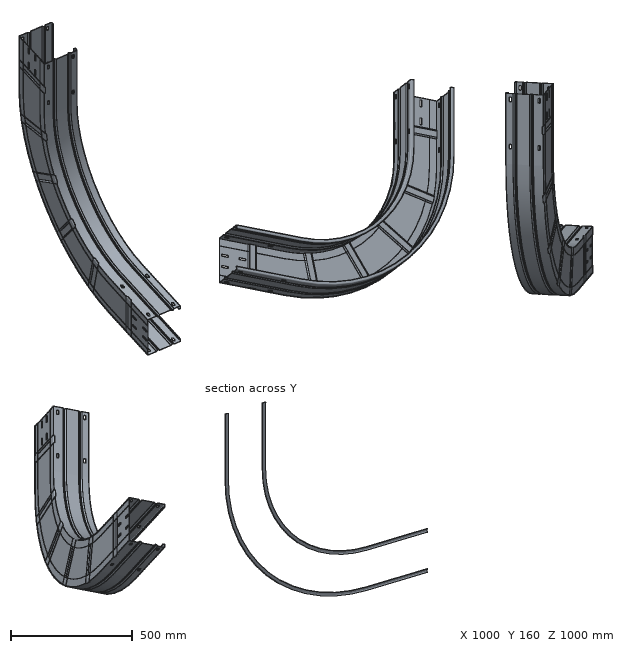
import cadquery as cq
import math

overall = 1000.0
tray_width = 200.0
tray_height = 160.0
leg_length = 300.0
bend_radius = overall - leg_length
bend_angle = 90

sheet = 1.5
inside_bend = 2.0
outside_bend = inside_bend + sheet
corner_match = sheet / 10

flange_width = 35.0
lip_width = 16.0
lip_return = 8.0
groove_places = (51.0, 121.0)
groove_width = 15.0
groove_floor = 3.0
groove_depth = 6.0
wall_slot_length = 20.0
wall_slot_width = 9.0
wall_slot_margin = 20.0
wall_slot_places = (25.0, 225.0)

bead_width = 39.0
bead_floor = 27.0
bead_depth = 5.0
bead_end_distance = 150.0
bend_bead_count = 4
bend_bead_pitch = 22.0
bead_land = 2.0
web_slot_length = 31.0
web_slot_width = 8.0
web_slot_spacing = 50.0
web_slot_places = (25.0, 105.0)
through = 2 * bead_depth

bend_centre = (bend_radius, 0, bend_radius)
bend_axis_end = (bend_radius, -1, bend_radius)


def sheet_face(path, bends=()):
    """Section of a sheet: the path thickened to its right, with the listed path corners bent round."""
    count = len(path)
    headings = [
        math.atan2(path[i + 1][1] - path[i][1], path[i + 1][0] - path[i][0])
        for i in range(count - 1)
    ]
    moved = []
    for i, (x, y) in enumerate(path):
        before = headings[max(i - 1, 0)]
        after = headings[min(i, count - 2)]
        half_turn = math.remainder(after - before, math.tau) / 2
        normal = before + half_turn - math.pi / 2
        reach = sheet / math.cos(half_turn)
        moved.append((x + reach * math.cos(normal), y + reach * math.sin(normal)))
    outline = [cq.Vector(x, y) for x, y in path + moved[::-1]]
    face = cq.Face.makeFromWires(cq.Wire.makePolygon(outline, close=True))
    for side, radius in ((path, outside_bend), (moved, inside_bend)):
        corners = [cq.Vector(*side[i]) for i in bends]
        rounded = [
            vertex for vertex in face.Vertices()
            if any((vertex.Center() - corner).Length < corner_match for corner in corners)
        ]
        if rounded:
            face = face.fillet2D(radius, rounded)
    return face


def mirror_legs(shape):
    """The same shape on the other leg."""
    return shape.mirror(cq.Vector(1, 0, -1), bend_centre)


def turn_around_bend(shape, angle):
    """Turn a shape from the start of the elbow toward the level leg."""
    return cq.Workplane(shape).rotate(bend_centre, bend_axis_end, angle).val()


def along_bend(section):
    """Carry a section down the upright leg, around the elbow and along the level leg."""
    start = section.translate(cq.Vector(0, 0, bend_radius))
    leg = cq.Solid.extrudeLinear(start, cq.Vector(0, 0, leg_length))
    elbow = cq.Solid.revolve(start, bend_angle, bend_centre, bend_axis_end)
    return cq.Workplane(leg).union(cq.Workplane(elbow)).union(cq.Workplane(mirror_legs(leg))).clean()


def slot_cutter(length, width, depth):
    """Slot centred on the origin, long along Z and cutting along Y."""
    return cq.Workplane("XZ").slot2D(length, width, 90).extrude(depth, both=True)



def wall_section():
    """Section of the outer wall: front flange, grooved wall, rear lip and its return."""
    path = [(flange_width, 0), (0, 0)]
    for centre in groove_places:
        path += [
            (0, centre - groove_width / 2),
            (groove_depth, centre - groove_floor / 2),
            (groove_depth, centre + groove_floor / 2),
            (0, centre + groove_width / 2),
        ]
    rear_corner = len(path)
    path += [(0, tray_height), (lip_width, tray_height), (lip_width, tray_height - lip_return)]
    return sheet_face(path, bends=(1, rear_corner, rear_corner + 1))


def wall_slots(wall_x):
    """Cutters for the slots of the wall at one X of the upright leg, in both legs."""
    cutters = []
    for y in (wall_slot_margin, tray_height - wall_slot_margin):
        for from_end in wall_slot_places:
            slot = slot_cutter(wall_slot_length, wall_slot_width, through).rotate((0, 0, 0), (0, 0, 1), 90)
            slot = slot.translate((wall_x, y, overall - from_end)).val()
            cutters += [slot, mirror_legs(slot)]
    return cq.Workplane(cq.Compound.makeCompound(cutters))


def make_outer_wall():
    """Grooved wall on the outside of the elbow."""
    return along_bend(wall_section()).cut(wall_slots(sheet / 2))


def make_inner_wall():
    """The same section mirrored, on the inside of the elbow."""
    section = wall_section().mirror("YZ", (tray_width / 2, 0, 0))
    return along_bend(section).cut(wall_slots(tray_width - sheet / 2))



def web_band(depth):
    """Solid band behind the flanges, as wide as the web and reaching back by the given depth."""
    edge = outside_bend
    corners = [(edge, sheet), (tray_width - edge, sheet)]
    corners += [(x, sheet + depth) for x, _ in corners[::-1]]
    return along_bend(
        cq.Face.makeFromWires(cq.Wire.makePolygon([cq.Vector(x, y) for x, y in corners], close=True))
    )


def bead_bar(section):
    """Bar across the upright leg at the start of the elbow, from a section drawn in Z and Y."""
    bar = cq.Solid.extrudeLinear(section, cq.Vector(0, 0, tray_width))
    return cq.Workplane(bar).rotate((0, 0, 0), (0, 1, 0), 90).translate((0, sheet, bend_radius)).val()


def bead_copies(bar):
    """One bar on each leg and the evenly spaced bars of the elbow."""
    on_leg = bar.translate(cq.Vector(0, 0, leg_length - bead_end_distance))
    first_angle = (bend_angle - (bend_bead_count - 1) * bend_bead_pitch) / 2
    in_elbow = [turn_around_bend(bar, first_angle + i * bend_bead_pitch) for i in range(bend_bead_count)]
    return cq.Workplane(cq.Compound.makeCompound([on_leg, mirror_legs(on_leg), *in_elbow]))


def make_beads():
    """Shallow channels of the web, pressed toward the rear."""
    path = [
        (bead_width / 2 + bead_land, 0),
        (bead_width / 2, 0),
        (bead_floor / 2, bead_depth),
        (-bead_floor / 2, bead_depth),
        (-bead_width / 2, 0),
        (-bead_width / 2 - bead_land, 0),
    ]
    bars = bead_copies(bead_bar(sheet_face(path)))
    return web_band(bead_depth + sheet).intersect(bars)


def bead_openings():
    """Cutters that clear the plate where the beads are pressed in."""
    bar = cq.Workplane("XY").box(tray_width, through, bead_width).translate((tray_width / 2, 0, bend_radius))
    return bead_copies(bar.val())


def web_slots():
    """Cutters for the slots of the web, in both legs."""
    cutters = []
    for offset in (-web_slot_spacing / 2, web_slot_spacing / 2):
        for from_end in web_slot_places:
            slot = slot_cutter(web_slot_length, web_slot_width, through)
            slot = slot.translate((tray_width / 2 + offset, 0, overall - from_end)).val()
            cutters += [slot, mirror_legs(slot)]
    return cq.Workplane(cq.Compound.makeCompound(cutters))


def make_web():
    """Flat plate behind the flanges with its pressed beads and slots."""
    plate = web_band(sheet).cut(bead_openings()).cut(web_slots())
    return plate.union(make_beads()).clean()


outer_wall = make_outer_wall()
inner_wall = make_inner_wall()
web = make_web()

result = cq.Compound.makeCompound([
    *outer_wall.solids().vals(),
    *inner_wall.solids().vals(),
    *web.solids().vals(),
])